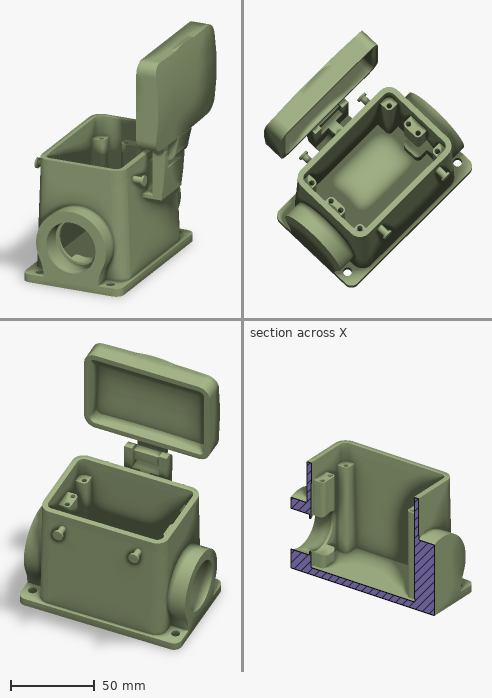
import cadquery as cq
import math


base_width = 65.0
base_length = 106.0
base_thickness = 5.0
base_corner = 5.0
mount_hole_radius = 2.7
mount_hole_x = 23.3
mount_hole_y = 47.1

shell_length = 82.6
shell_foot_length = 82.9
shell_foot_width = 60.9
shell_rim_width = 56.5
shell_corner = 7.5
shell_wall = 3.4
rim_start_z = 69.8
rim_top_z = 75.5

post_top_z = 62.8
post_depth = 7.5
post_corner = 2.7
middle_post_width = 13.0
screw_hole_radius = 1.6
screw_hole_depth = 17.8
corner_screw_x = 20.0
middle_screw_x = 4.0
screw_y = 33.1

boss_radius = 23.0
boss_foot_half_width = 18.0
port_z = 26.6
port_radius = 16.2
port_step_radius = 14.1
port_depth = 13.4

pin_radius = 2.1
pin_head_radius = 3.3
pin_head_thickness = 1.3
pin_tip_x = 35.6
pin_y = 25.0
pin_z = 65.5

bracket_half_width = 14.0
bracket_bottom_z = 50.0
shelf_thickness = 2.2
plate_inner_x = 35.5
plate_round_x = 38.2
plate_outer_x = 43.8
plate_bottom_x = 41.5
plate_top_z = 84.7
plate_shoulder_z = 80.5
web_half_width = 3.1
web_fillet = 4.0
arm_half_width = 8.9

cover_rim_x = 37.6
cover_back_x = 53.3
cover_bottom_z = 90.5
cover_top_z = 147.0
cover_corner = 7.5
cover_wall = 3.5
cover_inner_corner = 3.7
dome_radius_z = 148.5
dome_radius_y = 742.6
tab_half_width = 12.6
tab_top_z = 148.5
tab_start_x = 46.8
tab_tip_x = 49.9

arm_inner_x = 43.4
arm_hook_x = 38.0
arm_ledge_z = 81.5
arm_bottom_z = 74.4
arm_back_x = 50.8
arm_bend_x = 48.5
arm_bend_z = 80.8
arm_tip_x = 42.3

cover_mid_z = (cover_bottom_z + cover_top_z) / 2
cover_height = cover_top_z - cover_bottom_z


def tapered_block(inset):
    """Envelope of the shell, with every side moved inwards by inset."""
    corner = shell_corner - inset
    margin = 2 * inset
    foot = cq.Sketch().rect(shell_foot_width - margin, shell_foot_length - margin).vertices().fillet(corner)
    rim = cq.Sketch().rect(shell_rim_width - margin, shell_length - margin).vertices().fillet(corner)
    taper_height = rim_start_z - base_thickness
    taper = (
        cq.Workplane("XY", origin=(0, 0, base_thickness))
        .placeSketch(foot, rim.moved(cq.Location(cq.Vector(0, 0, taper_height))))
        .loft(ruled=True)
    )
    collar = cq.Workplane("XY", origin=(0, 0, rim_start_z)).placeSketch(rim).extrude(rim_top_z - rim_start_z)
    return taper.union(collar)


def base_flange():
    outline = cq.Sketch().rect(base_width, base_length).vertices().fillet(base_corner)
    flange = cq.Workplane("XY").placeSketch(outline).extrude(base_thickness)
    holes = (
        cq.Workplane("XY")
        .rect(2 * mount_hole_x, 2 * mount_hole_y, forConstruction=True)
        .vertices()
        .circle(mount_hole_radius)
        .extrude(base_thickness)
    )
    return flange.cut(holes)


def port_boss(side):
    """Round boss on a flared foot, from the shell to the end of the base; side is -1 or +1 in Y."""
    height = port_z - base_thickness
    narrowing = boss_radius - boss_foot_half_width
    flare_radius = (boss_foot_half_width**2 + height**2 - boss_radius**2) / (2 * narrowing)
    flare_x = boss_foot_half_width + flare_radius
    blend = boss_radius / (boss_radius + flare_radius)
    tangent_x = flare_x * blend
    tangent_z = port_z - height * blend
    half_angle = math.atan2(height, flare_x) / 2
    middle_x = flare_x - flare_radius * math.cos(half_angle)
    middle_z = base_thickness + flare_radius * math.sin(half_angle)
    boss_length = base_length / 2 - shell_length / 2 + shell_wall
    start_y = shell_length / 2 - shell_wall if side > 0 else -base_length / 2
    return (
        cq.Workplane("XZ", origin=(0, start_y, 0))
        .moveTo(-boss_foot_half_width, base_thickness)
        .threePointArc((-middle_x, middle_z), (-tangent_x, tangent_z))
        .threePointArc((0, port_z + boss_radius), (tangent_x, tangent_z))
        .threePointArc((middle_x, middle_z), (boss_foot_half_width, base_thickness))
        .close()
        .extrude(-boss_length)
    )


def post(x_min, x_max, side):
    """Screw post against one end wall, overlapping that wall; side is -1 or +1 in Y."""
    outer_y = (shell_length - shell_wall) / 2
    inner_y = shell_length / 2 - shell_wall - post_depth
    return (
        cq.Workplane("XY", origin=((x_min + x_max) / 2, side * (inner_y + outer_y) / 2, base_thickness))
        .rect(x_max - x_min, outer_y - inner_y)
        .extrude(post_top_z - base_thickness)
        .edges("|Z")
        .fillet(post_corner)
    )


def screw_posts():
    corner_inner_x = shell_rim_width / 2 - shell_wall - post_depth
    corner_outer_x = shell_foot_width / 2
    posts = cq.Workplane("XY")
    for side in (-1, 1):
        posts = posts.union(post(-middle_post_width / 2, middle_post_width / 2, side))
        posts = posts.union(post(corner_inner_x, corner_outer_x, side))
        posts = posts.union(post(-corner_outer_x, -corner_inner_x, side))
    return posts.intersect(tapered_block(shell_wall / 2))


def screw_holes():
    points = [
        (x, y)
        for x in (-corner_screw_x, -middle_screw_x, middle_screw_x, corner_screw_x)
        for y in (-screw_y, screw_y)
    ]
    return (
        cq.Workplane("XY", origin=(0, 0, post_top_z))
        .pushPoints(points)
        .circle(screw_hole_radius)
        .extrude(-screw_hole_depth)
    )


def cable_port():
    """Stepped bore through the -Y boss, the wall and the post behind it."""
    step_length = base_length / 2 - shell_length / 2 + shell_wall + post_depth
    face = cq.Workplane("XZ", origin=(0, -base_length / 2, port_z))
    entry = face.circle(port_radius).extrude(-port_depth)
    step = face.circle(port_step_radius).extrude(-step_length)
    return entry.union(step)


def locking_pins():
    root_x = (shell_rim_width - shell_wall) / 2
    pins = cq.Workplane("XY")
    for side in (-1, 1):
        for y in (-pin_y, pin_y):
            shaft = cq.Workplane("YZ", origin=(side * root_x, y, pin_z)).circle(pin_radius)
            head = cq.Workplane("YZ", origin=(side * pin_tip_x, y, pin_z)).circle(pin_head_radius)
            pins = pins.union(shaft.extrude(side * (pin_tip_x - root_x)))
            pins = pins.union(head.extrude(-side * pin_head_thickness))
    return pins


def hinge_bracket():
    root_x = (shell_rim_width - shell_wall) / 2
    shelf_z = bracket_bottom_z + shelf_thickness
    lean = plate_outer_x - plate_bottom_x
    face_height = plate_shoulder_z - bracket_bottom_z
    face_radius = (face_height**2 + lean**2) / (2 * lean)
    plate = (
        cq.Workplane("XZ", origin=(0, bracket_half_width, 0))
        .moveTo(plate_inner_x, bracket_bottom_z)
        .lineTo(plate_inner_x, plate_top_z)
        .lineTo(plate_round_x, plate_top_z)
        .tangentArcPoint((plate_outer_x, plate_shoulder_z), relative=False)
        .radiusArc((plate_bottom_x, bracket_bottom_z), face_radius)
        .close()
        .extrude(2 * bracket_half_width)
    )
    slot = (
        cq.Workplane("XY", origin=(0, 0, rim_start_z))
        .rect(2 * cover_back_x, 2 * arm_half_width)
        .extrude(plate_top_z)
    )
    web = (
        cq.Workplane("YZ", origin=(root_x, 0, 0))
        .moveTo(-bracket_half_width, bracket_bottom_z)
        .lineTo(bracket_half_width, bracket_bottom_z)
        .lineTo(bracket_half_width, shelf_z)
        .lineTo(web_half_width + web_fillet, shelf_z)
        .radiusArc((web_half_width, shelf_z + web_fillet), web_fillet)
        .lineTo(web_half_width, rim_start_z)
        .lineTo(-web_half_width, rim_start_z)
        .lineTo(-web_half_width, shelf_z + web_fillet)
        .radiusArc((-web_half_width - web_fillet, shelf_z), web_fillet)
        .lineTo(-bracket_half_width, shelf_z)
        .close()
        .extrude(plate_inner_x - root_x)
    )
    return plate.cut(slot).union(web)


def make_housing():
    housing = base_flange().union(tapered_block(0))
    for side in (-1, 1):
        housing = housing.union(port_boss(side))
    housing = housing.union(locking_pins()).union(hinge_bracket())
    housing = housing.cut(tapered_block(shell_wall))
    return housing.union(screw_posts()).cut(screw_holes()).cut(cable_port())


def domed_envelope(back_x):
    """Solid ahead of a doubly curved back face whose highest point lies at back_x."""
    axis_x = back_x - dome_radius_y
    reach_z = cover_height
    edge_x = back_x - dome_radius_z + math.sqrt(dome_radius_z**2 - reach_z**2)
    sweep = 2 * math.degrees(math.asin(shell_length / dome_radius_y))
    return (
        cq.Workplane("XZ", origin=(axis_x, 0, cover_mid_z))
        .moveTo(0, -reach_z)
        .lineTo(edge_x - axis_x, -reach_z)
        .threePointArc((dome_radius_y, 0), (edge_x - axis_x, reach_z))
        .lineTo(0, reach_z)
        .close()
        .revolve(sweep, (0, 0, 0), (0, 1, 0))
        .rotate((axis_x, 0, 0), (axis_x, 0, 1), -sweep / 2)
    )


def cover_block(inset, corner):
    """Rounded block behind the cover's rim plane, with its outline moved inwards by inset."""
    outline = cq.Sketch().rect(shell_length - 2 * inset, cover_height - 2 * inset).vertices().fillet(corner)
    return (
        cq.Workplane("YZ", origin=(cover_rim_x, 0, cover_mid_z))
        .placeSketch(outline)
        .extrude(cover_back_x - cover_rim_x)
    )


def thumb_tab():
    """Low crowned grip on the cover's top edge, with a concave ramp in front."""
    rise = tab_top_z - cover_top_z
    run = tab_tip_x - tab_start_x
    ramp_radius = (run**2 + rise**2) / (2 * rise)
    crown = (
        cq.Workplane("YZ", origin=(tab_start_x, 0, 0))
        .moveTo(-tab_half_width, cover_top_z)
        .threePointArc((0, tab_top_z), (tab_half_width, cover_top_z))
        .lineTo(tab_half_width, cover_top_z - cover_wall)
        .lineTo(-tab_half_width, cover_top_z - cover_wall)
        .close()
        .extrude(cover_back_x - tab_start_x)
    )
    ramp = (
        cq.Workplane("XZ", origin=(tab_start_x, tab_half_width, cover_top_z + ramp_radius))
        .circle(ramp_radius)
        .extrude(2 * tab_half_width)
    )
    return crown.cut(ramp)


def hinge_arm():
    return (
        cq.Workplane("XZ", origin=(0, arm_half_width, 0))
        .moveTo(arm_inner_x, cover_bottom_z)
        .lineTo(arm_inner_x, arm_ledge_z)
        .lineTo(arm_hook_x, arm_ledge_z)
        .lineTo(arm_hook_x, arm_bottom_z)
        .lineTo(arm_tip_x, arm_bottom_z)
        .tangentArcPoint((arm_bend_x, arm_bend_z), relative=False)
        .lineTo(arm_back_x, cover_bottom_z)
        .close()
        .extrude(2 * arm_half_width)
    )


def make_cover():
    cover = cover_block(0, cover_corner).union(thumb_tab()).intersect(domed_envelope(cover_back_x))
    cavity = cover_block(cover_wall, cover_inner_corner).intersect(domed_envelope(cover_back_x - cover_wall))
    return cover.cut(cavity).union(hinge_arm())


housing = make_housing()
cover = make_cover()
result = cq.Compound.makeCompound([housing.val(), cover.val()])